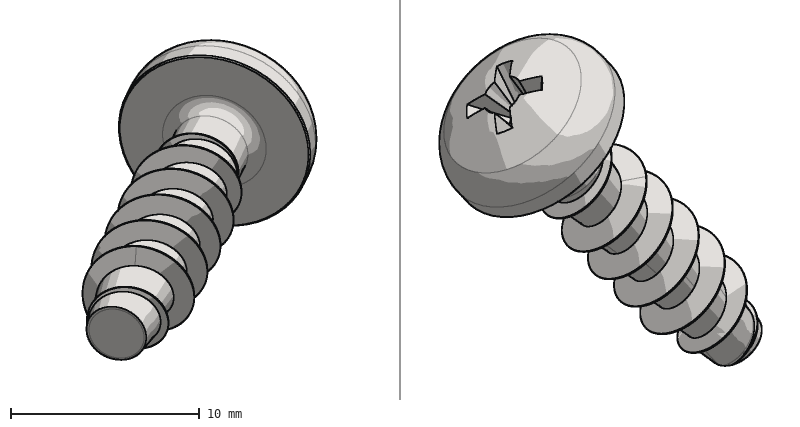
import cadquery as cq
import math


head_radius = 10.5 / 2
head_height = 4.0
rim_height = 1.09
rim_chamfer = 0.08
shoulder_radius = 2.1
dome_edge_radius = 4.25
neck_fillet = 0.79

wing_width = 0.94
wing_reach = 2.55
wing_end_radius = 1.0
pit_radius = 1.17
pit_floor_radius = 0.75
recess_depth = 2.5

length = 20.0
shank_radius = 4.1 / 2
shank_end = 3.03
core_radius = 1.64
core_start = 4.43
tip_taper = 0.14
tip_cone_start = 17.3
dish_radius = 1.51
dish_depth = 0.15

thread_radius = 3.0
pitch = 2.675
zero_turn_depth = 5.22
crest_half_width = 0.04
flank_angle = math.radians(15)
thread_root_radius = 1.3
entry_turn = -1.25
growth_turn = -0.75
full_turn = 0.25
fade_turn = 4.0
end_turn = 5.45
entry_depth = 2.86
entry_radius = 2.1
growth_radius = 2.44
end_radius = 1.62

ramp_top_radius = 2.007
ramp_slope = 0.149
ramp_length = 2.5
ramp_end_turn = 6.0

points_per_turn = 24


def revolve_profile(profile):
    return profile.close().revolve(360, (0, 0, 0), (0, 1, 0))


def make_head():
    shoulder_center = (head_radius - shoulder_radius, rim_height)
    inward = dome_edge_radius - shoulder_center[0]
    dome_edge_height = rim_height + math.sqrt(shoulder_radius**2 - inward**2)
    dome_rise = head_height - dome_edge_height
    dome_radius = (dome_edge_radius**2 + dome_rise**2) / (2 * dome_rise)
    dome_mid_radius = dome_edge_radius / 2
    dome_mid_height = head_height - dome_radius + math.sqrt(dome_radius**2 - dome_mid_radius**2)
    shoulder_mid_angle = math.acos(inward / shoulder_radius) / 2
    shoulder_mid = (
        shoulder_center[0] + shoulder_radius * math.cos(shoulder_mid_angle),
        shoulder_center[1] + shoulder_radius * math.sin(shoulder_mid_angle),
    )
    profile = (
        cq.Workplane("XY")
        .lineTo(head_radius - rim_chamfer, 0)
        .lineTo(head_radius, rim_chamfer)
        .lineTo(head_radius, rim_height)
        .threePointArc(shoulder_mid, (dome_edge_radius, dome_edge_height))
        .threePointArc((dome_mid_radius, dome_mid_height), (0, head_height))
    )
    return revolve_profile(profile)


def make_recess():
    floor = head_height - recess_depth

    def tapered_plug(top_radius, floor_radius):
        profile = (
            cq.Workplane("XY")
            .moveTo(0, floor)
            .lineTo(floor_radius, floor)
            .lineTo(top_radius, head_height)
            .lineTo(0, head_height)
        )
        return revolve_profile(profile)

    wing_span = 2 * wing_reach
    middle = (0, floor + recess_depth / 2, 0)
    wing_x = cq.Workplane("XY").box(wing_span, recess_depth, wing_width).translate(middle)
    wing_z = cq.Workplane("XY").box(wing_width, recess_depth, wing_span).translate(middle)
    wings = wing_x.union(wing_z).intersect(tapered_plug(wing_reach, wing_end_radius))
    return wings.union(tapered_plug(pit_radius, pit_floor_radius))


def make_core():
    fillet_mid = neck_fillet * (1 - math.sqrt(0.5))
    profile = (
        cq.Workplane("XY")
        .lineTo(shank_radius + neck_fillet, 0)
        .threePointArc((shank_radius + fillet_mid, -fillet_mid), (shank_radius, -neck_fillet))
        .lineTo(shank_radius, -shank_end)
        .lineTo(core_radius, -core_start)
        .lineTo(core_radius, -length)
        .lineTo(0, -length)
    )
    return revolve_profile(profile)


def make_tip_dish():
    """Ball whose cap forms the hollow in the tip face."""
    ball_radius = (dish_radius**2 + dish_depth**2) / (2 * dish_depth)
    return cq.Workplane("XY").sphere(ball_radius).translate((0, dish_depth - length - ball_radius, 0))


def helix_depth(turn):
    return zero_turn_depth + pitch * turn


def helical_edge(start, end):
    """Edge whose radius and depth change evenly from start to end, each (turn, radius, depth)."""
    steps = math.ceil((end[0] - start[0]) * points_per_turn)
    points = []
    for step in range(steps + 1):
        turn, radius, depth = [a + (b - a) * step / steps for a, b in zip(start, end)]
        angle = 2 * math.pi * turn
        points.append(cq.Vector(-radius * math.sin(angle), -depth, radius * math.cos(angle)))
    return cq.Edge.makeSpline(points)


def helical_solid(sections):
    """Solid through sections, each (turn, corners) with corners given as (radius, depth)."""
    faces = []
    for (turn_a, corners_a), (turn_b, corners_b) in zip(sections, sections[1:]):
        edges = [
            helical_edge((turn_a, *corner_a), (turn_b, *corner_b))
            for corner_a, corner_b in zip(corners_a, corners_b)
        ]
        for edge, next_edge in zip(edges, edges[1:] + edges[:1]):
            faces.append(cq.Face.makeRuledSurface(edge, next_edge))
    for turn, corners in (sections[0], sections[-1]):
        angle = 2 * math.pi * turn
        outline = [cq.Vector(-r * math.sin(angle), -d, r * math.cos(angle)) for r, d in corners]
        faces.append(cq.Face.makeFromWires(cq.Wire.makePolygon(outline, close=True)))
    solid = cq.Solid.makeSolid(cq.Shell.makeShell(faces))
    return cq.Workplane("XY").newObject([solid.fix()])


def thread_section(turn, radius, depth):
    root_half_width = crest_half_width + (radius - thread_root_radius) * math.tan(flank_angle)
    corners = [
        (thread_root_radius, depth - root_half_width),
        (radius, depth - crest_half_width),
        (radius, depth + crest_half_width),
        (thread_root_radius, depth + root_half_width),
    ]
    return turn, corners


def make_thread():
    return helical_solid([
        thread_section(entry_turn, entry_radius, entry_depth),
        thread_section(growth_turn, growth_radius, helix_depth(growth_turn)),
        thread_section(full_turn, thread_radius, helix_depth(full_turn)),
        thread_section(fade_turn, thread_radius, helix_depth(fade_turn)),
        thread_section(end_turn, end_radius, helix_depth(end_turn)),
    ])


def ramp_section(turn):
    top = helix_depth(turn)
    bottom = top + ramp_length
    corners = [
        (thread_root_radius, top),
        (ramp_top_radius, top),
        (ramp_top_radius - ramp_slope * ramp_length, bottom),
        (thread_root_radius, bottom),
    ]
    return turn, corners


def make_ramp():
    ramp_turns = ramp_end_turn - entry_turn
    pieces = math.ceil(ramp_turns)
    ramp_sections = [ramp_section(entry_turn + ramp_turns * i / pieces) for i in range(pieces + 1)]
    ramp = helical_solid(ramp_sections)
    tip_cone_radius = core_radius + tip_taper * (length - tip_cone_start)
    envelope = (
        cq.Workplane("XY")
        .lineTo(thread_radius, 0)
        .lineTo(thread_radius, -tip_cone_start)
        .lineTo(tip_cone_radius, -tip_cone_start)
        .lineTo(core_radius, -length)
        .lineTo(0, -length)
    )
    return ramp.intersect(revolve_profile(envelope))


head = make_head().cut(make_recess())
shank = make_core().union(make_ramp()).union(make_thread()).cut(make_tip_dish())
result = head.union(shank)